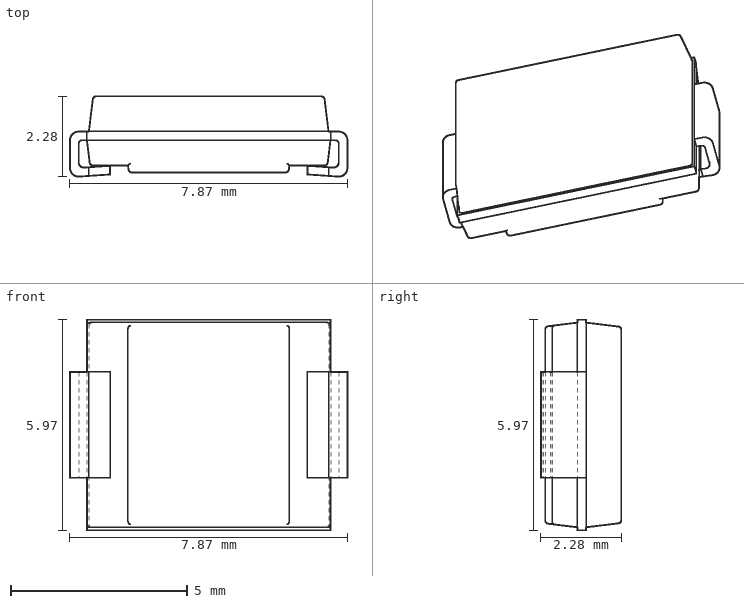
import cadquery as cq
import math


sheet = 0.25
plate_length = 6.91
plate_height = 5.97

draft_angle = 7.0
edge_radius = 0.1
case_height = 5.81
back_length = 6.8
back_y = 1.0
front_length = plate_length
front_y = -1.165
ledge_y = -0.97
pad_length = 4.58

overall_length = 7.87
terminal_height = 3.01
lowest_y = -1.28
outer_bend_radius = 0.25
upper_inner_radius = 0.095
lower_inner_radius = 0.14
foot_tilt = math.radians(4.0)
foot_start_x = 3.4
foot_tip_x = 2.79

bend_x = overall_length / 2 - outer_bend_radius
bend_y = lowest_y + outer_bend_radius


def drafted_block(length, height, start_y, end_y):
    """Block from start_y to end_y whose sides narrow by the draft angle."""
    depth = end_y - start_y
    plane = cq.Plane(
        origin=(0, start_y, 0),
        xDir=(1, 0, 0),
        normal=(0, math.copysign(1, depth), 0),
    )
    return cq.Workplane(plane).rect(length, height).extrude(abs(depth), taper=draft_angle)


def build_plate():
    return cq.Workplane("XY").box(plate_length, sheet, plate_height).translate((0, -sheet / 2, 0))


def build_back_case():
    block = drafted_block(back_length, case_height, 0, back_y)
    return block.edges("not <Y").fillet(edge_radius)


def build_front_case():
    block = drafted_block(front_length, case_height, -sheet, front_y)

    pad_base_x = pad_length / 2
    pad_face_x = pad_base_x - (ledge_y - front_y) * math.tan(math.radians(draft_angle))
    ledge_space = (
        cq.Workplane("XY")
        .polyline([
            (pad_base_x, ledge_y),
            (front_length / 2, ledge_y),
            (front_length / 2, front_y),
            (pad_face_x, front_y),
        ])
        .close()
        .extrude(plate_height / 2, both=True)
    )
    block = block.cut(ledge_space).cut(ledge_space.mirror("YZ"))

    plate_edges = cq.selectors.StringSyntaxSelector(">Y")
    margin = 0.01
    inside_corners = cq.selectors.BoxSelector(
        (-pad_base_x - margin, ledge_y - margin, -margin),
        (pad_base_x + margin, ledge_y + margin, margin),
    )
    return block.edges(-(plate_edges + inside_corners)).fillet(edge_radius)


def foot_surface_y(x, depth):
    """Y at x of the tilted plane that lies `depth` inside the outer foot surface."""
    reach = outer_bend_radius - depth + math.sin(foot_tilt) * (x - bend_x)
    return bend_y - reach / math.cos(foot_tilt)


def extrude_terminal_outline(points):
    return cq.Workplane("XY").polyline(points).close().extrude(terminal_height / 2, both=True)


def build_strip():
    """Strip of the +X terminal, bent from the plate edge round to the foot."""
    root_x = plate_length / 2
    outer_x = overall_length / 2
    inner_x = outer_x - sheet
    outer_corner = (outer_x, foot_surface_y(outer_x, 0))
    inner_corner = (inner_x, foot_surface_y(inner_x, sheet))
    strip = extrude_terminal_outline([
        (root_x, 0),
        (outer_x, 0),
        outer_corner,
        (foot_start_x, foot_surface_y(foot_start_x, 0)),
        (foot_start_x, foot_surface_y(foot_start_x, sheet)),
        inner_corner,
        (inner_x, -sheet),
        (root_x, -sheet),
    ])
    bends = [
        ((outer_x, 0), outer_bend_radius),
        (outer_corner, outer_bend_radius),
        ((inner_x, -sheet), upper_inner_radius),
        (inner_corner, lower_inner_radius),
    ]
    for (x, y), radius in bends:
        strip = strip.edges(cq.selectors.NearestToPointSelector((x, y, 0))).fillet(radius)
    return strip


def build_foot():
    """Foot of the +X terminal, in line with the end of the strip."""
    return extrude_terminal_outline([
        (foot_start_x, foot_surface_y(foot_start_x, 0)),
        (foot_tip_x, foot_surface_y(foot_tip_x, 0)),
        (foot_tip_x, foot_surface_y(foot_tip_x, sheet)),
        (foot_start_x, foot_surface_y(foot_start_x, sheet)),
    ])


plate = build_plate()
back_case = build_back_case()
front_case = build_front_case()

terminal_bodies = []
for build_body in (build_strip, build_foot):
    body = build_body()
    terminal_bodies.append(body.val())
    terminal_bodies.append(body.mirror("YZ").val())

result = cq.Compound.makeCompound([plate.val(), back_case.val(), front_case.val(), *terminal_bodies])